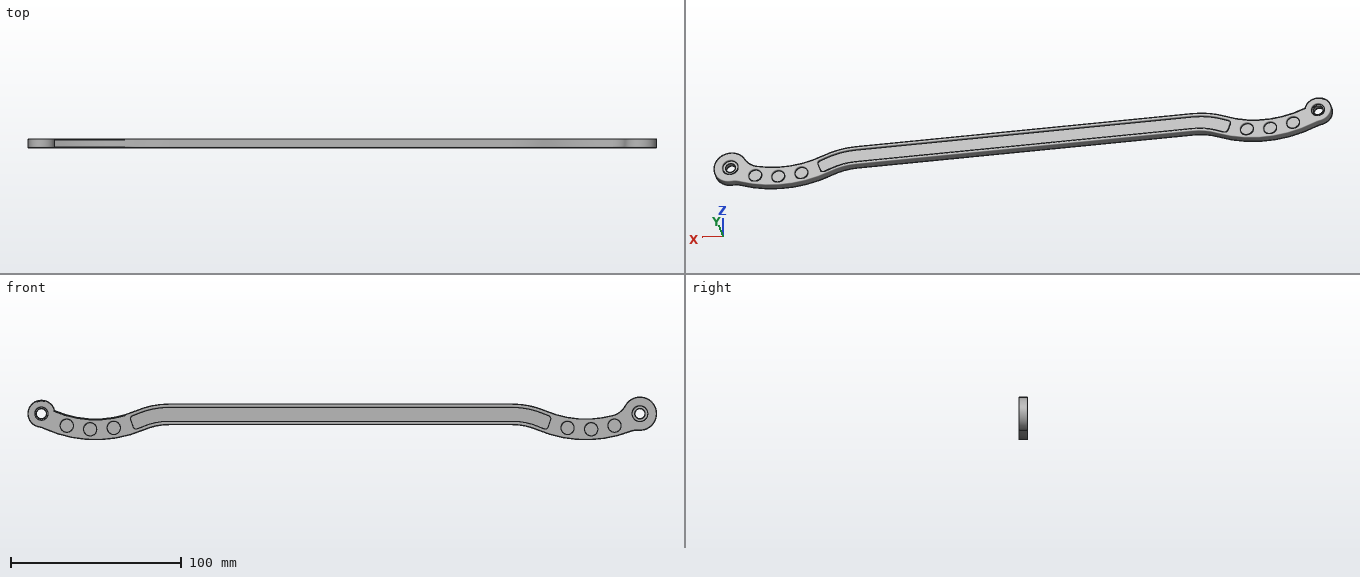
import cadquery as cq
import math

length = 368.0
thickness = 5.0
bar_width = 12.0
bar_z = 2.4
straight_half_length = 100.5

trough_run = 143.5
trough_bottom_z = -12.5
trough_radius = 66.2

eye_z = 2.75
small_eye_diameter = 16.0
large_eye_diameter = 19.5
large_eye_blend_radius = 11.8
lower_blend_radius = 11.0
bore_diameter = 6.0
small_counterbore_diameter = 7.7
large_counterbore_diameter = 9.2

recess_depth = 1.0
groove_width = 8.0
groove_run = 122.0
groove_corner_radius = 2.0
dimple_diameter = 7.7
dimple_first_angle = -9.3
dimple_pitch_angle = 12.0
dimple_count = 3

rim_fillet = 0.55

middle_x = (small_eye_diameter - large_eye_diameter) / 4
eye_run = (length - (small_eye_diameter + large_eye_diameter) / 2) / 2
trough_z = trough_bottom_z + bar_width / 2
bend_run = trough_run - straight_half_length
bend_drop = bar_z - trough_z
crest_radius = (bend_run**2 + bend_drop**2) / (2 * bend_drop) - trough_radius
crest_center_z = bar_z - crest_radius
trough_center_z = trough_z + trough_radius

bend_angle = math.degrees(math.asin(bend_run / (crest_radius + trough_radius)))
eye_angle = math.degrees(math.asin((eye_run - trough_run) / trough_radius))
groove_angle = math.degrees(math.asin((groove_run - trough_run) / trough_radius))


def place(side, run, z):
    """Point at a distance from the arm middle; side is -1 toward -X and 1 toward +X."""
    return (middle_x + side * run, z)


def crest_point(side, angle, offset):
    """Point on the crest arc, turned by angle from its top and moved up by offset."""
    radius = crest_radius + offset
    turn = math.radians(angle)
    run = straight_half_length + radius * math.sin(turn)
    return place(side, run, crest_center_z + radius * math.cos(turn))


def trough_point(side, angle, offset):
    """Point on the trough arc, turned by angle from its bottom toward the eye, moved up by offset."""
    radius = trough_radius - offset
    turn = math.radians(angle)
    run = trough_run + radius * math.sin(turn)
    return place(side, run, trough_center_z - radius * math.cos(turn))


def trace_outward(outline, side, offset, end_angle):
    """Follow the crest and then the trough, from the straight to end_angle."""
    middle_angle = (end_angle - bend_angle) / 2
    return (
        outline
        .threePointArc(crest_point(side, bend_angle / 2, offset), crest_point(side, bend_angle, offset))
        .threePointArc(trough_point(side, middle_angle, offset), trough_point(side, end_angle, offset))
    )


def trace_inward(outline, side, offset, end_angle):
    """Follow the trough and then the crest, from end_angle back to the straight."""
    middle_angle = (end_angle - bend_angle) / 2
    return (
        outline
        .threePointArc(trough_point(side, middle_angle, offset), trough_point(side, -bend_angle, offset))
        .threePointArc(crest_point(side, bend_angle / 2, offset), crest_point(side, 0, offset))
    )


def strip(width, end_angle):
    """Band of constant width along the centreline, ending at end_angle of both troughs."""
    half = width / 2
    outline = cq.Workplane("XZ").moveTo(*crest_point(-1, 0, half)).lineTo(*crest_point(1, 0, half))
    outline = trace_outward(outline, 1, half, end_angle).lineTo(*trough_point(1, end_angle, -half))
    outline = trace_inward(outline, 1, -half, end_angle).lineTo(*crest_point(-1, 0, -half))
    outline = trace_outward(outline, -1, -half, end_angle).lineTo(*trough_point(-1, end_angle, half))
    outline = trace_inward(outline, -1, half, end_angle)
    return outline.close().extrude(thickness / 2, both=True)


def disc(center, diameter):
    """Cylinder along Y, as thick as the arm."""
    return cq.Workplane("XZ").center(*center).circle(diameter / 2).extrude(thickness / 2, both=True)


def recess(body, cutter):
    """Sink a full-thickness cutter into both flat faces by the recess depth."""
    shift = thickness - recess_depth
    for direction in (-1, 1):
        body = body.cut(cutter.translate((0, direction * shift, 0)))
    return body


def blend_corner(body, side, eye_diameter, direction, radius):
    """Round the corner on the arm side of an eye; direction is 1 for the upper and -1 for the lower one."""
    eye_radius = eye_diameter / 2
    x, z = place(side, eye_run - eye_radius / 2, eye_z + direction * eye_radius / 2)
    corner = cq.selectors.NearestToPointSelector((x, 0, z))
    return body.edges("|Y").edges(corner).fillet(radius)


small_eye = place(-1, eye_run, eye_z)
large_eye = place(1, eye_run, eye_z)

arm = strip(bar_width, eye_angle)
arm = arm.union(disc(small_eye, small_eye_diameter))
arm = arm.union(disc(large_eye, large_eye_diameter))

arm = blend_corner(arm, 1, large_eye_diameter, 1, large_eye_blend_radius)
arm = blend_corner(arm, 1, large_eye_diameter, -1, lower_blend_radius)
arm = blend_corner(arm, -1, small_eye_diameter, -1, lower_blend_radius)

groove = strip(groove_width, groove_angle)
for end in ("<X", ">X"):
    groove = groove.faces(end).edges("|Y").fillet(groove_corner_radius)
arm = recess(arm, groove)

for side in (-1, 1):
    for index in range(dimple_count):
        angle = dimple_first_angle + index * dimple_pitch_angle
        arm = recess(arm, disc(trough_point(side, angle, 0), dimple_diameter))

for eye, counterbore_diameter in (
    (small_eye, small_counterbore_diameter),
    (large_eye, large_counterbore_diameter),
):
    arm = arm.cut(disc(eye, bore_diameter))
    arm = recess(arm, disc(eye, counterbore_diameter))

result = arm.faces("<Y or >Y").edges().fillet(rim_fillet)